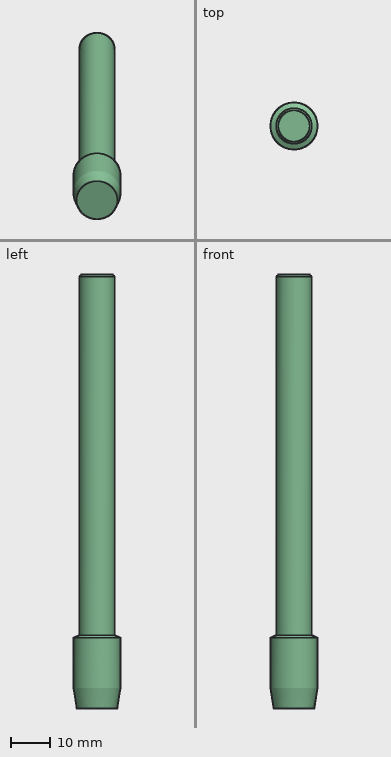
import cadquery as cq

TOTAL_LENGTH = 110.0
TIP_DIAMETER = 12.0
ROD_DIAMETER = 9.0

TIP_LENGTH = 18.6
TAPER_LENGTH = 5.2
TAPER_END_DIAMETER = 10.3
SHOULDER_HEIGHT = 0.7

ROD_CHAMFER = 0.5


def make_rod():
    """Rod standing on the top face of the tip."""
    return (
        cq.Workplane("XY")
        .workplane(offset=TIP_LENGTH)
        .circle(ROD_DIAMETER / 2)
        .extrude(TOTAL_LENGTH - TIP_LENGTH)
        .faces(">Z")
        .chamfer(ROD_CHAMFER)
    )


def make_tip():
    """Solid tip, revolved about Z; its shoulder narrows to the rod diameter."""
    radius = TIP_DIAMETER / 2
    return (
        cq.Workplane("XZ")
        .moveTo(0, 0)
        .lineTo(TAPER_END_DIAMETER / 2, 0)
        .lineTo(radius, TAPER_LENGTH)
        .lineTo(radius, TIP_LENGTH - SHOULDER_HEIGHT)
        .lineTo(ROD_DIAMETER / 2, TIP_LENGTH)
        .lineTo(0, TIP_LENGTH)
        .close()
        .revolve(360, (0, 0, 0), (0, 1, 0))
    )


rod = make_rod()
tip = make_tip()
result = cq.Compound.makeCompound([rod.val(), tip.val()])